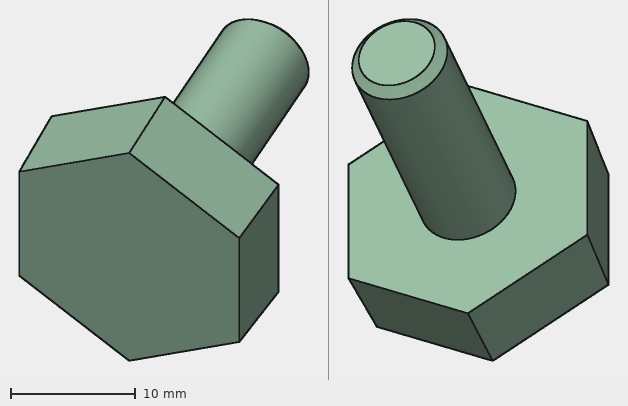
import cadquery as cq
import math

total_length = 27.0
head_height = 7.0
head_across_flats = 20.0
head_draft_angle = 2.5
shank_diameter = 8.0
tip_chamfer = 0.8

shank_length = total_length - head_height
head_across_corners = head_across_flats / math.cos(math.radians(30))


def make_head():
    """Tapered hexagon from y = 0 toward -Y, with two corners on the Z axis."""
    return (
        cq.Workplane("XZ")
        .transformed(rotate=(0, 0, 90))
        .polygon(6, head_across_corners)
        .extrude(head_height, taper=head_draft_angle)
    )


def make_shank():
    """Round shank from y = 0 toward +Y, with a chamfered tip."""
    return (
        cq.Workplane("XZ")
        .circle(shank_diameter / 2)
        .extrude(-shank_length)
        .faces(">Y")
        .chamfer(tip_chamfer)
    )


result = make_head().union(make_shank())